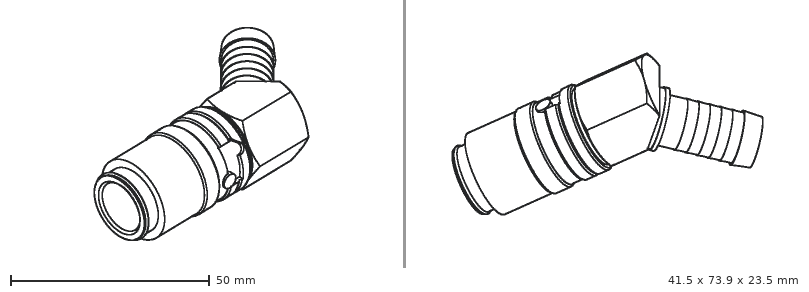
import cadquery as cq
import math

NOSE_RADIUS = 9.0
NOSE_END = 4.95
BEAD_RADIUS = 9.5
BEAD_START = 0.5
BEAD_WIDTH = 0.9
SLEEVE_RADIUS = 11.3
COLLAR_RADIUS = 11.75
COLLAR_CHAMFER = 0.45
COLLAR_CHAMFER_LENGTH = 0.5
FRONT_COLLAR_START = 19.1
FRONT_COLLAR_END = 24.4
BARREL_RADIUS = 11.25
MIDDLE_COLLAR_START = 27.8
COLLAR_GROOVE_Y = 31.65
REAR_COLLAR_END = 35.3
NECK_RADIUS = 10.5

HEX_START = 36.4
HEX_END = 55.6
HEX_FLATS = 22.05
HEX_CORNERS = HEX_FLATS / math.cos(math.radians(30))
HEX_CHAMFER_ANGLE = 30

TAIL_ANGLE = 45
ELBOW_Y = 45.1
TAIL_LENGTH = 34.1
TAIL_FACE_OFFSET = 6.35
TAIL_NECK_RADIUS = 7.9
TAIL_COLLAR_RADIUS = 8.2
TAIL_COLLAR_START = 1.8
TAIL_COLLAR_WIDTH = 1.1
TAIL_RADIUS = 6.6
TOOTH_RADIUS = 6.7
TOOTH_COUNT = 5
TOOTH_START = 8.0
TOOTH_PITCH = 2.95
TOOTH_LENGTH = 1.5
BULGE_RADIUS = 7.1
BULGE_LENGTH = 4.9
TAIL_TIP_RADIUS = 6.65

MOUTH_RADIUS = 7.5
SOCKET_RADIUS = 6.8
SOCKET_DEPTH = HEX_START
BORE_RADIUS = 4.6
BORE_END = 52.8

SLOT_FLOOR_RADIUS = 10.6
SLOT_START = 27.65
SLOT_END = 32.4
SLOT_LOW_ANGLE = -10
SLOT_HIGH_ANGLE = 47.7
LOBE_ANGLE = 34.4
LOBE_RADIUS = 1.7
LOBE_TOP = 34.4
LOBE_FLARE = 3.1
LOBE_ARC_END_ANGLE = 30
LOBE_FOOT = 31.9
PIN_RADIUS = 2.1
PIN_Y = 27.65

SLOT_TOOL_RADIUS = COLLAR_RADIUS + 0.75
TRIM_TOOL_DEPTH = 2 * HEX_CORNERS
TRIM_TOOL_WIDTH = 4 * HEX_CORNERS


def collar(start, end):
    """Profile points of a raised band with both rims chamfered."""
    return [
        (COLLAR_RADIUS - COLLAR_CHAMFER, start),
        (COLLAR_RADIUS, start + COLLAR_CHAMFER_LENGTH),
        (COLLAR_RADIUS, end - COLLAR_CHAMFER_LENGTH),
        (COLLAR_RADIUS - COLLAR_CHAMFER, end),
    ]


def revolve_about_y(profile, degrees=360):
    return profile.close().revolve(degrees, (0, 0, 0), (0, 1, 0))


def make_body():
    bead_end = BEAD_START + BEAD_WIDTH
    outline = cq.Workplane("XY").moveTo(0, 0).lineTo(NOSE_RADIUS, 0).lineTo(NOSE_RADIUS, BEAD_START)
    outline = outline.threePointArc((BEAD_RADIUS, BEAD_START + BEAD_WIDTH / 2), (NOSE_RADIUS, bead_end))
    points = [(NOSE_RADIUS, NOSE_END), (SLEEVE_RADIUS, NOSE_END), (SLEEVE_RADIUS, FRONT_COLLAR_START)]
    points += collar(FRONT_COLLAR_START, FRONT_COLLAR_END)[1:]
    points += [(BARREL_RADIUS, FRONT_COLLAR_END), (BARREL_RADIUS, MIDDLE_COLLAR_START)]
    points += collar(MIDDLE_COLLAR_START, COLLAR_GROOVE_Y)
    points += collar(COLLAR_GROOVE_Y, REAR_COLLAR_END)[1:]
    points += [(NECK_RADIUS, REAR_COLLAR_END), (NECK_RADIUS, HEX_START), (0, HEX_START)]
    for point in points:
        outline = outline.lineTo(*point)
    return revolve_about_y(outline)


def cut_bayonet_slot(body):
    """Cut the bayonet track and its entry lobe down to the slot floor."""
    sector = (
        cq.Workplane("XY")
        .moveTo(SLOT_FLOOR_RADIUS, SLOT_START)
        .lineTo(SLOT_TOOL_RADIUS, SLOT_START)
        .lineTo(SLOT_TOOL_RADIUS, SLOT_END)
        .lineTo(SLOT_FLOOR_RADIUS, SLOT_END)
    )
    sector = revolve_about_y(sector, SLOT_HIGH_ANGLE - SLOT_LOW_ANGLE)
    sector = sector.rotate((0, 0, 0), (0, 1, 0), -SLOT_HIGH_ANGLE)
    lobe_center = LOBE_TOP - LOBE_RADIUS
    arc_end_angle = math.radians(LOBE_ARC_END_ANGLE)
    arc_end = (
        lobe_center + LOBE_RADIUS * math.sin(arc_end_angle),
        LOBE_RADIUS * math.cos(arc_end_angle),
    )
    lobe = (
        cq.Workplane("YZ")
        .moveTo(LOBE_FOOT, -LOBE_RADIUS)
        .lineTo(lobe_center, -LOBE_RADIUS)
        .threePointArc((LOBE_TOP, 0), arc_end)
        .lineTo(LOBE_FOOT, LOBE_FLARE)
        .close()
        .extrude(SLOT_TOOL_RADIUS)
        .rotate((0, 0, 0), (0, 1, 0), -LOBE_ANGLE)
    )
    core = cq.Workplane("XZ").circle(SLOT_FLOOR_RADIUS).extrude(-HEX_START)
    return body.cut(sector).cut(lobe.cut(core))


def make_pin():
    return cq.Workplane("YZ").center(PIN_Y, 0).circle(PIN_RADIUS).extrude(COLLAR_RADIUS)


def make_hex():
    block = (
        cq.Workplane("XZ", origin=(0, HEX_START, 0))
        .polygon(6, HEX_CORNERS)
        .extrude(HEX_START - HEX_END)
    )
    corner = HEX_CORNERS / 2
    flat = HEX_FLATS / 2
    drop = (corner - flat) * math.tan(math.radians(HEX_CHAMFER_ANGLE))
    envelope = cq.Workplane("XY").polyline([
        (0, HEX_START),
        (flat, HEX_START),
        (corner, HEX_START + drop),
        (corner, HEX_END - drop),
        (flat, HEX_END),
        (0, HEX_END),
    ])
    return block.intersect(revolve_about_y(envelope))


def lean(shape):
    """Move a shape built along +Y from the origin onto the tail axis."""
    return shape.rotate((0, 0, 0), (0, 0, 1), TAIL_ANGLE).translate((0, ELBOW_Y, 0))


def make_tail():
    """Hose tail with its shoulder collar and barbs, ending in a slightly flared bulge."""
    collar_start = TAIL_FACE_OFFSET + TAIL_COLLAR_START
    collar_end = collar_start + TAIL_COLLAR_WIDTH
    bulge_start = TAIL_LENGTH - BULGE_LENGTH
    points = [
        (0, 0),
        (TAIL_NECK_RADIUS, 0),
        (TAIL_NECK_RADIUS, collar_start),
        (TAIL_COLLAR_RADIUS, collar_start),
        (TAIL_COLLAR_RADIUS, collar_end),
        (TAIL_RADIUS, collar_end),
    ]
    for index in range(TOOTH_COUNT):
        tooth_start = TAIL_FACE_OFFSET + TOOTH_START + index * TOOTH_PITCH
        points += [
            (TAIL_RADIUS, tooth_start),
            (TOOTH_RADIUS, tooth_start),
            (TAIL_RADIUS, tooth_start + TOOTH_LENGTH),
        ]
    points += [
        (TAIL_RADIUS, bulge_start),
        (BULGE_RADIUS, bulge_start),
        (TAIL_TIP_RADIUS, TAIL_LENGTH),
        (0, TAIL_LENGTH),
    ]
    return lean(revolve_about_y(cq.Workplane("XY").polyline(points)))


def trim_hex(block):
    """Cut the block off square to the tail, leaving the face the tail stands on."""
    waste = cq.Workplane("XZ", origin=(0, TAIL_FACE_OFFSET, 0)).rect(TRIM_TOOL_WIDTH, TRIM_TOOL_WIDTH)
    return block.cut(lean(waste.extrude(-TRIM_TOOL_DEPTH)))


def make_passages():
    mouth_depth = MOUTH_RADIUS - SOCKET_RADIUS
    straight = cq.Workplane("XY").polyline([
        (0, 0),
        (MOUTH_RADIUS, 0),
        (SOCKET_RADIUS, mouth_depth),
        (SOCKET_RADIUS, SOCKET_DEPTH),
        (BORE_RADIUS, SOCKET_DEPTH),
        (BORE_RADIUS, BORE_END),
        (0, BORE_END),
    ])
    tail_bore = cq.Workplane("XZ").circle(BORE_RADIUS).extrude(-TAIL_LENGTH)
    return revolve_about_y(straight).union(lean(tail_bore))


elbow = trim_hex(make_hex())
body = cut_bayonet_slot(make_body()).union(make_pin())
result = body.union(elbow).union(make_tail()).cut(make_passages())